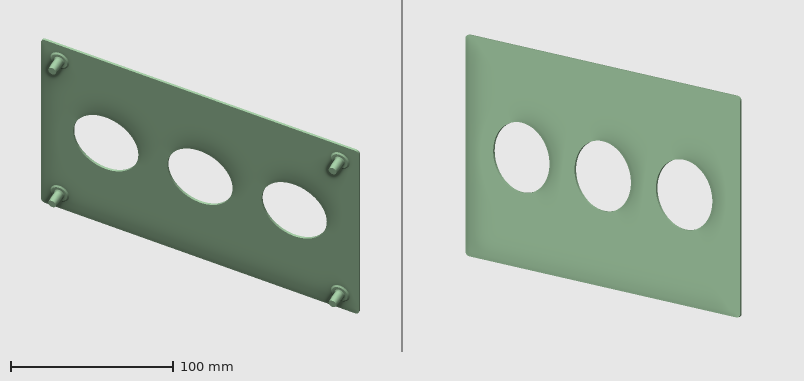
import cadquery as cq

plate_length = 219.5
plate_height = 142.0
plate_thickness = 1.5
corner_radius = 3.0

opening_diameter = 45.0
opening_pitch = 65.0
opening_count = 3

stud_spacing_x = 193.5
stud_spacing_z = 116.0
overall_depth = 12.0
stud_length = overall_depth - plate_thickness
shank_diameter = 6.0
tip_diameter = 5.3
taper_length = 4.0

collar_base_diameter = 13.0
collar_top_diameter = 11.0
collar_height = 0.8

flare_diameter = 7.2
flare_height = 0.6


def make_plate():
    """Rounded rectangular plate with its front face on Y = 0."""
    blank = cq.Workplane("XZ").rect(plate_length, plate_height).extrude(-plate_thickness)
    return blank.edges("|Y").fillet(corner_radius)


def make_opening_cutter():
    """Cylinders that pass through the plate at every opening."""
    return (
        cq.Workplane("XZ")
        .rarray(opening_pitch, 1, opening_count, 1)
        .circle(opening_diameter / 2)
        .extrude(-plate_thickness)
    )


def make_stud():
    """Collar, flare, straight shank and tapered tip, revolved about the Y axis."""
    half_profile = [
        (0, 0),
        (collar_base_diameter / 2, 0),
        (collar_top_diameter / 2, -collar_height),
        (flare_diameter / 2, -collar_height),
        (shank_diameter / 2, -(collar_height + flare_height)),
        (shank_diameter / 2, -(stud_length - taper_length)),
        (tip_diameter / 2, -stud_length),
        (0, -stud_length),
    ]
    return cq.Workplane("XY").polyline(half_profile).close().revolve(360, (0, 0), (0, 1))


def add_studs(body):
    """Join one stud to the body near each corner."""
    stud = make_stud()
    for side_x in (-1, 1):
        for side_z in (-1, 1):
            position = (side_x * stud_spacing_x / 2, 0, side_z * stud_spacing_z / 2)
            body = body.union(stud.translate(position))
    return body


result = add_studs(make_plate().cut(make_opening_cutter()))